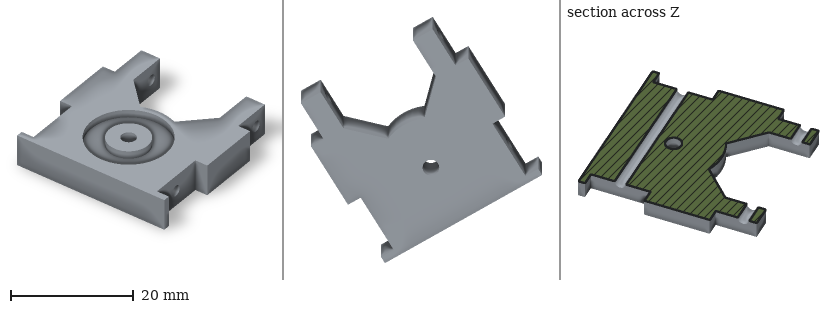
import cadquery as cq
import math

length = 30.8
width = 29.8
thickness = 6.0

body_width = 25.0
flange_thickness = 1.23
shoulder_start = 11.77
shoulder_end = 23.5
arm_width = 3.75

center_y = 10.38
recess_diameter = 15.0
recess_depth = 1.48
boss_diameter = 7.7
boss_height = recess_depth
bore_diameter = 2.7

rim_radius = 8.6
rim_half_width = 3.45

pin_diameter = 2.0
pin_positions = (6.45, 28.4)


def make_plate():
    """Extrude the symmetric outline with its flange, shoulders and arms."""
    half_width = width / 2
    half_body = body_width / 2
    half_gap = half_body - arm_width
    rim_end_y = center_y + math.sqrt(rim_radius**2 - rim_half_width**2)
    right_side = [
        (half_width, 0),
        (half_width, flange_thickness),
        (half_body, flange_thickness),
        (half_body, shoulder_start),
        (half_width, shoulder_start),
        (half_width, shoulder_end),
        (half_body, shoulder_end),
        (half_body, length),
        (half_gap, length),
        (half_gap, shoulder_end),
        (rim_half_width, rim_end_y),
    ]
    left_side = [(-x, y) for x, y in reversed(right_side)]
    return (
        cq.Workplane("XY")
        .polyline(right_side)
        .threePointArc((0, center_y + rim_radius), left_side[0])
        .polyline(left_side[1:], includeCurrent=True)
        .close()
        .extrude(thickness)
    )


def cylinder(diameter, bottom, height):
    """Upright cylinder on the recess axis."""
    return (
        cq.Workplane("XY", origin=(0, center_y, bottom))
        .circle(diameter / 2)
        .extrude(height)
    )


def pin_hole(y):
    """Cutter for one hole across the full width."""
    return (
        cq.Workplane("YZ", origin=(-width / 2, y, thickness / 2))
        .circle(pin_diameter / 2)
        .extrude(width)
    )


recess_floor = thickness - recess_depth
result = make_plate()
result = result.cut(cylinder(recess_diameter, recess_floor, recess_depth))
result = result.union(cylinder(boss_diameter, recess_floor, boss_height))
result = result.cut(cylinder(bore_diameter, 0, thickness))
for pin_y in pin_positions:
    result = result.cut(pin_hole(pin_y))